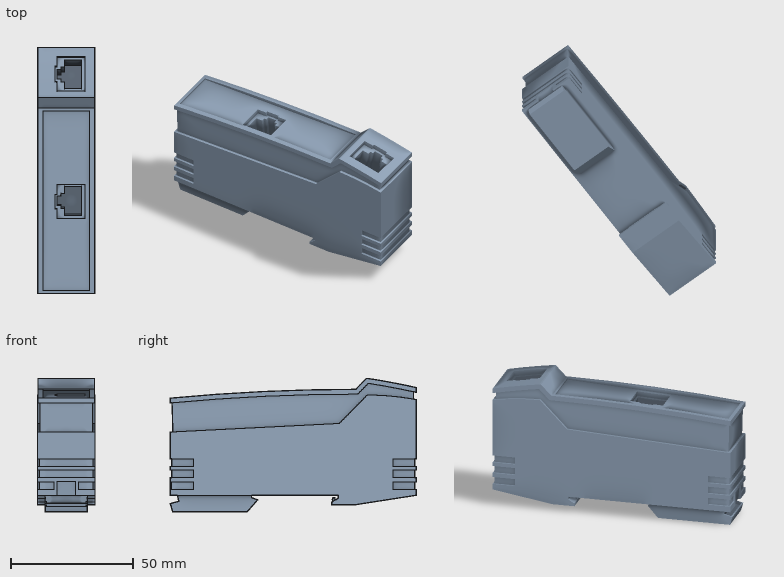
import cadquery as cq
import math


width = 23.6
length = 100.3
height = 54.4
back = length / 2
front = -length / 2

body_floor = 6.7
hook_floor = 2.8
hook_bevel_y = 25.0
hook_tip_y = 15.6
hook_tip_z = 4.0
hook_root_y = 18.3
hook_root_z = 5.5
body_back_top = 45.7
body_bulge_y = 41.0
body_bulge_z = 47.0
body_crest_y = 30.2
body_crest_z = 47.6
body_step_y = 18.8
body_step_z = 36.0
body_front_top = 32.5

ridge_width = 14.0
ridge_front_y = 15.8
ridge_back_y = 17.1
ridge_top = 5.8
ridge_shoulder = 5.0
ridge_bevel = 0.3

groove_floors = (18.6, 13.9, 9.1)
groove_height = 3.0
groove_side_depth = 0.9
groove_end_depth = 0.6
groove_reach = 9.4
groove_gap = 10.0

insert_width = 21.4
insert_back = 49.0
insert_front_top = -49.4
insert_front_bottom = -49.0
insert_overlap = 1.0

cover_width = 23.2
cover_thickness = 2.0
cover_back_top = 50.7
hump_mid_y = 40.4
hump_mid_z = 52.7
crest_back_y = 30.5
crest_front_y = 29.8
deck_y = 25.5
deck_z = 49.9
deck_front_top = 46.3
ramp_shift = 0.8

deck_drop = deck_z - deck_front_top
deck_run = deck_y - front
deck_radius = (deck_run**2 + deck_drop**2) / (2 * deck_drop)

label_width = 19.1
label_back = 24.4
label_front = -48.7
label_end_depth = 0.6

hump_socket_y = 39.4
deck_socket_y = -12.6
socket_face_left = -3.8
socket_face_right = 7.6
hump_face_length = 14.4
deck_face_length = 13.9
socket_face_depth = 2.0
socket_tab_left = -4.6
hump_tab_length = 6.4
deck_tab_length = 5.8
plug_right = 6.2
plug_steps = ((-0.7, 11.8), (-2.2, 6.2), (-3.7, 3.9))
plug_offset = 0.2
plug_depth = 11.5
socket_headroom = 3.0

foot_width = 17.3
foot_outline = (
    (-17.0, body_floor),
    (-17.0, 5.8),
    (-14.4, 4.9),
    (-18.8, 0),
    (-49.1, 0),
    (-49.4, 1.0),
    (front, 3.4),
    (-46.6, 4.3),
    (-47.2, body_floor),
)
tray_wall = 0.6
tray_depth = 1.3

latch_width = 7.6
latch_top = 12.4
latch_top_depth = 0.3
latch_bottom_depth = 1.0


def deck_height(y):
    """Height of the deck surface at lengthwise position y."""
    return deck_z - deck_radius + math.sqrt(deck_radius**2 - (deck_y - y) ** 2)


label_slope = (deck_height(label_back) - deck_height(label_front)) / (label_back - label_front)


def label_floor(y):
    """Height of the flat label floor at lengthwise position y."""
    return deck_height(label_front) - label_end_depth + label_slope * (y - label_front)


def extrude_across(profile, span):
    """Extrude a closed YZ profile symmetrically about the middle of the width."""
    return profile.extrude(span / 2, both=True)


def box_between(x0, x1, y0, y1, z0, z1):
    return cq.Workplane("XY").box(x1 - x0, y1 - y0, z1 - z0, centered=False).translate((x0, y0, z0))


def make_body():
    profile = (
        cq.Workplane("YZ")
        .moveTo(front, body_floor)
        .lineTo(front, body_front_top)
        .lineTo(body_step_y, body_step_z)
        .lineTo(body_crest_y, body_crest_z)
        .threePointArc((body_bulge_y, body_bulge_z), (back, body_back_top))
        .lineTo(back, body_floor)
        .lineTo(hook_bevel_y, hook_floor)
        .lineTo(hook_tip_y, hook_floor)
        .lineTo(hook_tip_y, hook_tip_z)
        .lineTo(hook_root_y, hook_root_z)
        .lineTo(hook_root_y, body_floor)
        .close()
    )
    return extrude_across(profile, width)


def make_ridge():
    profile = cq.Workplane("YZ").polyline(
        [
            (ridge_front_y + ridge_bevel, hook_tip_z),
            (ridge_front_y, ridge_shoulder),
            (ridge_front_y + ridge_bevel, ridge_top),
            (ridge_back_y, ridge_top),
            (ridge_back_y, hook_tip_z),
        ]
    ).close()
    return extrude_across(profile, ridge_width)


def cut_grooves(body):
    core_x = width / 2 - groove_side_depth
    core_y = back - groove_end_depth
    for floor in groove_floors:
        top = floor + groove_height
        band = box_between(-width / 2, width / 2, front, back, floor, top)
        core = box_between(-core_x, core_x, -core_y, core_y, floor, top)
        middle = box_between(
            -width / 2, width / 2, front + groove_reach, back - groove_reach, floor, top
        )
        ring = band.cut(core).cut(middle)
        if floor == groove_floors[-1]:
            ring = ring.cut(box_between(-groove_gap / 2, groove_gap / 2, front, 0, floor, top))
        body = body.cut(ring)
    return body


def make_insert():
    buried = body_front_top - insert_overlap
    seam_front = deck_front_top - cover_thickness / 2
    profile = cq.Workplane("YZ").polyline(
        [
            (insert_front_bottom, buried),
            (insert_front_top, seam_front),
            (deck_y, deck_z - cover_thickness / 2),
            (crest_front_y, height - cover_thickness / 2),
            (insert_back, cover_back_top - cover_thickness / 2),
            (insert_back, buried),
        ]
    ).close()
    return extrude_across(profile, insert_width)


def make_cover():
    deck_mid_y = (deck_y + front) / 2
    deck_mid_z = deck_height(deck_mid_y)
    profile = (
        cq.Workplane("YZ")
        .moveTo(back, cover_back_top)
        .threePointArc((hump_mid_y, hump_mid_z), (crest_back_y, height))
        .lineTo(crest_front_y, height)
        .lineTo(deck_y, deck_z)
        .threePointArc((deck_mid_y, deck_mid_z), (front, deck_front_top))
        .lineTo(front, deck_front_top - cover_thickness)
        .threePointArc(
            (deck_mid_y, deck_mid_z - cover_thickness),
            (deck_y + ramp_shift, deck_z - cover_thickness),
        )
        .lineTo(crest_front_y + ramp_shift, height - cover_thickness)
        .threePointArc(
            (hump_mid_y, hump_mid_z - cover_thickness), (back, cover_back_top - cover_thickness)
        )
        .close()
    )
    return extrude_across(profile, cover_width)


def make_label_recess():
    profile = cq.Workplane("YZ").polyline(
        [
            (label_front, label_floor(label_front)),
            (label_back, label_floor(label_back)),
            (label_back, height),
            (label_front, height),
        ]
    ).close()
    return extrude_across(profile, label_width)


def make_socket(y, z, tilt, face_length, tab_length):
    """Socket cavity square to a surface at (y, z) whose normal leans by tilt towards +Y."""
    mouth = cq.Plane(origin=(0, y, z), xDir=(1, 0, 0), normal=(0, math.sin(tilt), math.cos(tilt)))

    def pocket(left, right, span, depth, offset=0):
        sketch = cq.Workplane(mouth).workplane(offset=-depth)
        return (
            sketch.center((left + right) / 2, offset)
            .rect(right - left, span)
            .extrude(depth + socket_headroom)
        )

    face = pocket(socket_face_left, socket_face_right, face_length, socket_face_depth)
    tab = pocket(socket_tab_left, socket_face_right, tab_length, socket_face_depth)
    cavity = face.union(tab)
    for left, span in plug_steps:
        cavity = cavity.union(
            pocket(left, plug_right, span, socket_face_depth + plug_depth, plug_offset)
        )
    return cavity


def make_foot():
    """Rail foot with a tray in its front rim; the tray's rear wall continues the leaning front face."""
    foot = extrude_across(cq.Workplane("YZ").polyline(foot_outline).close(), foot_width)
    rim_front_y, rim_front_z = foot_outline[-3]
    rim_back_y, rim_back_z = foot_outline[-2]
    rim_slope = (rim_back_z - rim_front_z) / (rim_back_y - rim_front_y)
    face_top_y, face_top_z = foot_outline[-1]
    face_lean = (rim_back_y - face_top_y) / (face_top_z - rim_back_z)
    tray_front_y = rim_front_y + tray_wall
    tray = cq.Workplane("YZ").polyline(
        [
            (tray_front_y, rim_front_z + rim_slope * tray_wall - tray_depth),
            (rim_back_y + face_lean * tray_depth, rim_back_z - tray_depth),
            (rim_back_y, rim_back_z),
            (tray_front_y, rim_back_z),
        ]
    ).close()
    return foot.cut(extrude_across(tray, foot_width - 2 * tray_wall))


def make_latch_recess():
    profile = cq.Workplane("YZ").polyline(
        [
            (front, body_floor),
            (front, latch_top),
            (front + latch_top_depth, latch_top),
            (front + latch_bottom_depth, body_floor),
        ]
    ).close()
    return extrude_across(profile, latch_width)


hump_slope = (height - cover_back_top) / (back - crest_back_y)
hump_socket_z = cover_back_top + hump_slope * (back - hump_socket_y)
hump_socket = make_socket(
    hump_socket_y, hump_socket_z, math.atan(hump_slope), hump_face_length, hump_tab_length
)
deck_socket = make_socket(
    deck_socket_y,
    label_floor(deck_socket_y),
    -math.atan(label_slope),
    deck_face_length,
    deck_tab_length,
)

body = cut_grooves(make_body()).union(make_ridge()).cut(make_latch_recess())
result = (
    body.union(make_insert())
    .union(make_cover())
    .union(make_foot())
    .cut(make_label_recess())
    .cut(hump_socket)
    .cut(deck_socket)
)